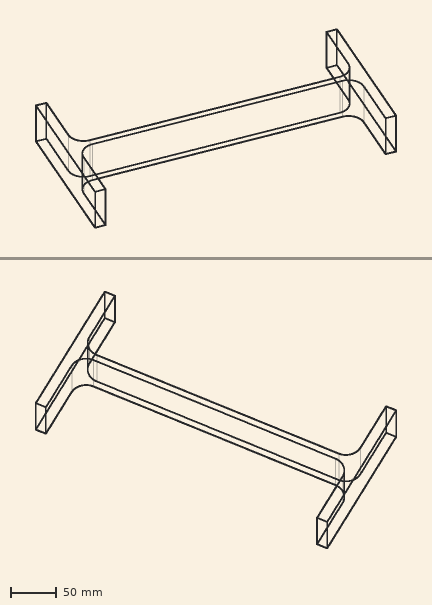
import cadquery as cq

depth = 360.0
flange_width = 170.0
length = 50.0
web_thickness = 8.0
flange_thickness = 12.5
root_radius = 18.0

web_height = depth - 2 * flange_thickness
flange_offset = (depth - flange_thickness) / 2

beam = cq.Workplane("XY").rect(web_thickness, web_height).extrude(length)
for side in (-1, 1):
    flange = (
        cq.Workplane("XY")
        .center(0, side * flange_offset)
        .rect(flange_width, flange_thickness)
        .extrude(length)
    )
    beam = beam.union(flange)

corner_finder = cq.selectors.BoxSelector(
    (-web_thickness, -web_height / 2 - root_radius / 2, 0),
    (web_thickness, web_height / 2 + root_radius / 2, length),
)
result = beam.edges("|Z").edges(corner_finder).fillet(root_radius)